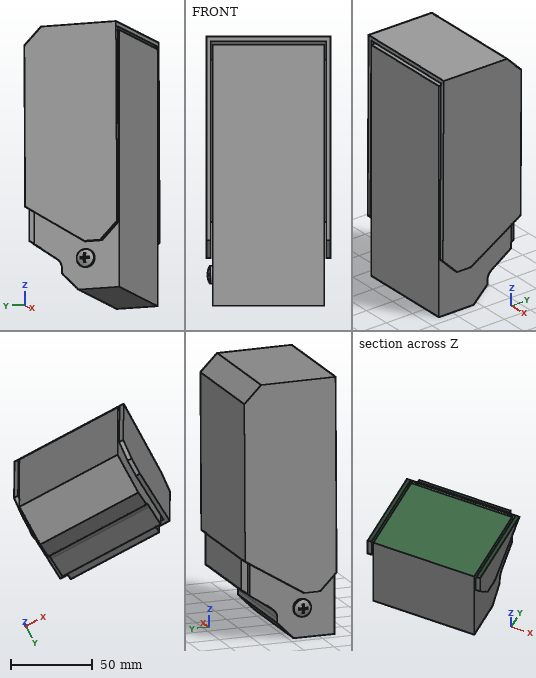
import cadquery as cq
import math


case_width = 68.1
case_depth = 55.5
case_height = 159.7
foot_chamfer = 10.7
foot_depth = 37.4
underside_corner = 17.6
underside_back = 30.0
underside_fillet = 7.4
case_top_chamfer = 11.0

plate_thickness = 4.5
plate_inset = 3.3
plate_gap = 0.2

screw_depth = 21.5
screw_height = 19.1

overall_height = 164.6
hood_width = 75.9
hood_depth = 59.7
hood_wall = 2.8
hood_top_chamfer = 11.0
hood_front_chamfer = 10.9
hood_bottom = 29.3
hood_slope_start = 21.5
hood_slope_end = 53.2
hood_tilt = 0.3
tilt_angle = math.radians(hood_tilt)
tilt_rise = screw_depth * math.sin(tilt_angle)
hood_top = screw_height + (overall_height - screw_height - tilt_rise) / math.cos(tilt_angle)

screw_radius = 5.6
screw_rim = 1.6
screw_dome = 1.6
recess_length = 5.6
recess_width = 1.2
recess_depth = 2.0


def extrude_across(profile, width):
    """Closed YZ outline extruded symmetrically about X = 0."""
    return profile.close().extrude(width / 2, both=True)


def build_case():
    profile = cq.Workplane("YZ").polyline([
        (0, 0),
        (foot_depth - foot_chamfer, 0),
        (foot_depth, foot_chamfer),
        (foot_depth, underside_corner),
        (case_depth, underside_back),
        (case_depth, case_height - case_top_chamfer),
        (case_depth - case_top_chamfer, case_height),
        (0, case_height),
    ])
    case = extrude_across(profile, case_width)
    corner = cq.selectors.NearestToPointSelector((0, foot_depth, underside_corner))
    return case.edges("|X").edges(corner).fillet(underside_fillet)


def build_back_plate():
    plate_back = case_depth + plate_thickness
    underside_slope = (underside_back - underside_corner) / (case_depth - foot_depth)
    hood_slope = (hood_slope_end - hood_bottom) / (hood_depth - hood_slope_start)
    tilted_slope = math.tan(math.atan(hood_slope) - tilt_angle)
    top_at_case = hood_bottom - plate_gap + tilted_slope * (case_depth - hood_slope_start)
    profile = cq.Workplane("YZ").polyline([
        (case_depth, underside_back),
        (plate_back, underside_back + underside_slope * plate_thickness),
        (plate_back, top_at_case + tilted_slope * plate_thickness),
        (case_depth, top_at_case),
    ])
    return extrude_across(profile, case_width - 2 * plate_inset)


def build_hood():
    outer = extrude_across(cq.Workplane("YZ").polyline([
        (0, hood_bottom + hood_front_chamfer),
        (hood_front_chamfer, hood_bottom),
        (hood_slope_start, hood_bottom),
        (hood_depth, hood_slope_end),
        (hood_depth, hood_top - hood_top_chamfer),
        (hood_depth - hood_top_chamfer, hood_top),
        (0, hood_top),
    ]), hood_width)

    inner_back = hood_depth - hood_wall
    inner_top = hood_top - hood_wall
    cavity = extrude_across(cq.Workplane("YZ").polyline([
        (0, 0),
        (inner_back, 0),
        (inner_back, inner_top - hood_top_chamfer),
        (inner_back - hood_top_chamfer, inner_top),
        (0, inner_top),
    ]), hood_width - 2 * hood_wall)

    axis_start = (0, screw_depth, screw_height)
    axis_end = (1, screw_depth, screw_height)
    return outer.cut(cavity).rotate(axis_start, axis_end, -hood_tilt)


def build_screw_head():
    """Domed head on the left side of the case, with a cross recess."""
    seat = -case_width / 2
    rim = seat - screw_rim
    apex = rim - screw_dome
    dome_radius = (screw_radius**2 + screw_dome**2) / (2 * screw_dome)
    mid_radius = screw_radius / 2
    mid_drop = dome_radius - math.sqrt(dome_radius**2 - mid_radius**2)
    head = (
        cq.Workplane("XY")
        .moveTo(seat, 0)
        .lineTo(seat, screw_radius)
        .lineTo(rim, screw_radius)
        .threePointArc((apex + mid_drop, mid_radius), (apex, 0))
        .close()
        .revolve(360, (0, 0), (1, 0))
    )
    for angle in (0, 90):
        slot = (
            cq.Workplane("YZ", origin=(apex, 0, 0))
            .rect(recess_length, recess_width)
            .extrude(recess_depth)
            .rotate((0, 0, 0), (1, 0, 0), angle)
        )
        head = head.cut(slot)
    return head.translate((0, screw_depth, screw_height))


case = build_case()
back_plate = build_back_plate()
hood = build_hood()
screw_head = build_screw_head()

result = cq.Compound.makeCompound([
    case.val(),
    back_plate.val(),
    hood.val(),
    screw_head.val(),
])